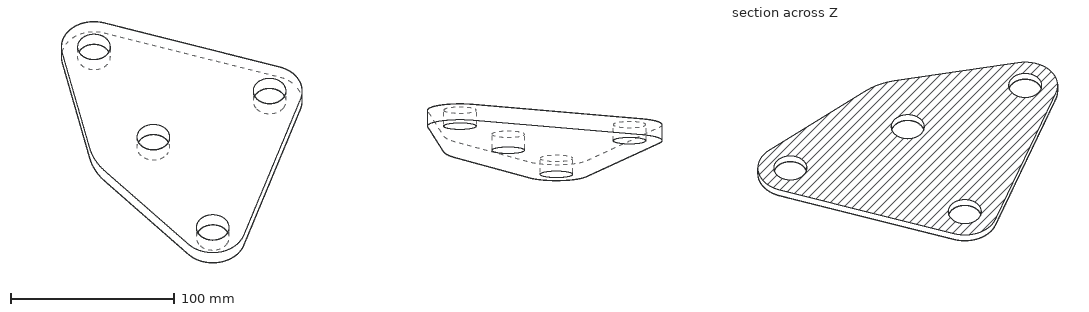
import cadquery as cq
import math

thickness = 10.0
hole_spacing = 80.0
hole_diameter = 20.0
corner_radius = 20.0
bottom_radius = 40.0

center = (0.0, 0.0)
left_corner = (-hole_spacing, 0.0)
right_corner = (hole_spacing, 0.0)
top_corner = (0.0, hole_spacing)

upper_normal = math.radians(45.0)
lower_normal = -math.acos((bottom_radius - corner_radius) / hole_spacing)


def on_circle(middle, radius, angle):
    """Point on a circle at the given angle."""
    return (middle[0] + radius * math.cos(angle), middle[1] + radius * math.sin(angle))


def mirrored(point):
    """The same point on the other side of the YZ plane."""
    return (-point[0], point[1])


bottom_tangent = on_circle(center, bottom_radius, lower_normal)
lower_tangent = on_circle(right_corner, corner_radius, lower_normal)
side_tangent = on_circle(right_corner, corner_radius, upper_normal)
top_tangent = on_circle(top_corner, corner_radius, upper_normal)

right_end = on_circle(right_corner, corner_radius, 0.0)
top_end = on_circle(top_corner, corner_radius, math.pi / 2)
bottom_end = on_circle(center, bottom_radius, -math.pi / 2)

plate = (
    cq.Workplane("XY")
    .moveTo(*bottom_tangent)
    .lineTo(*lower_tangent)
    .threePointArc(right_end, side_tangent)
    .lineTo(*top_tangent)
    .threePointArc(top_end, mirrored(top_tangent))
    .lineTo(*mirrored(side_tangent))
    .threePointArc(mirrored(right_end), mirrored(lower_tangent))
    .lineTo(*mirrored(bottom_tangent))
    .threePointArc(bottom_end, bottom_tangent)
    .close()
    .extrude(thickness)
)

holes = (
    cq.Workplane("XY")
    .pushPoints([center, left_corner, right_corner, top_corner])
    .circle(hole_diameter / 2)
    .extrude(thickness)
)

result = plate.cut(holes)